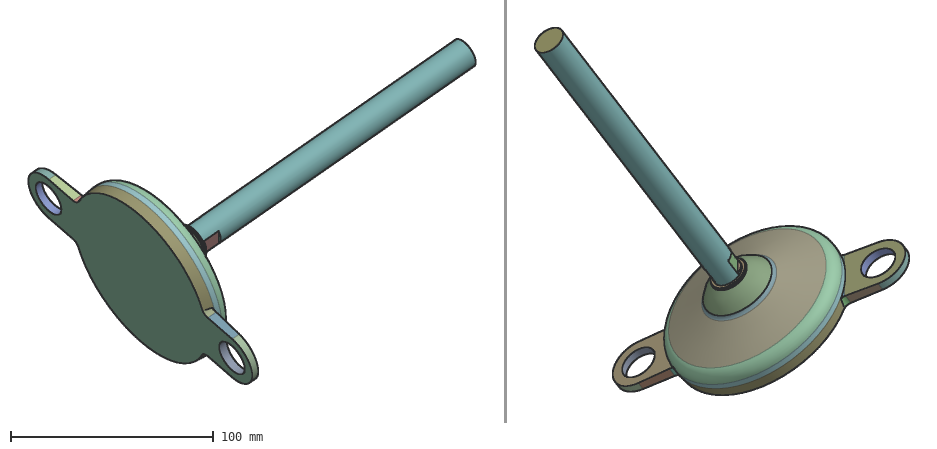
import cadquery as cq

total_length = 215.0
total_width = 166.0

foot_diameter = 100.0
rim_radius = foot_diameter / 2
sole_radius = 49.2
draft_top = 6.2
rim_top = 9.5
shoulder_radius = 44.7
shoulder_height = 16.0
cone_top_radius = 21.3
cone_top_height = 24.0
neck_mid_radius = 20.2
neck_mid_height = 24.7
dome_base_radius = 19.5
dome_base_height = 25.8
dome_mid_radius = 15.5
dome_mid_height = 30.3
dome_top_radius = 9.7
dome_top_height = 33.5
shoulder_mid_radius = 48.5
shoulder_mid_height = 13.3

lug_radius = 15.0
lug_hole_radius = 9.5
lug_center = total_width / 2 - lug_radius
lug_root_fillet = 4.3
lug_tip_thickness = 4.0
lug_root_thickness = 5.5

stem_radius = 8.06
collar_radius = 10.0
collar_chamfer = 0.5
collar_top = 35.3
flats_bottom = 36.5
flats_top = 46.2
flats_width = 12.7


def plate(sketch, thickness):
    """Extrude an XZ outline from the sole towards +Y."""
    return sketch.extrude(-thickness)


def make_lugs():
    """Disc with two lugs whose upper faces slope down to the tips."""
    disc = plate(cq.Workplane("XZ").circle(sole_radius), lug_root_thickness)
    bar = plate(
        cq.Workplane("XZ").slot2D(total_width, 2 * lug_radius), lug_root_thickness
    )
    blank = disc.union(bar)
    root_corners = cq.selectors.BoxSelector(
        (-sole_radius, -2.2, -lug_radius - 2.2),
        (sole_radius, lug_root_thickness + 2.2, lug_radius + 2.2),
    )
    blank = blank.edges("|Y").edges(root_corners).fillet(lug_root_fillet)
    tip = total_width / 2
    slope_outline = [
        (-tip, 0),
        (tip, 0),
        (tip, lug_tip_thickness),
        (sole_radius, lug_root_thickness),
        (-sole_radius, lug_root_thickness),
        (-tip, lug_tip_thickness),
    ]
    envelope = (
        cq.Workplane("XY").polyline(slope_outline).close()
        .extrude(rim_radius, both=True)
    )
    holes = plate(
        cq.Workplane("XZ")
        .pushPoints([(-lug_center, 0), (lug_center, 0)])
        .circle(lug_hole_radius),
        lug_root_thickness,
    )
    return blank.intersect(envelope).cut(holes)


def make_foot():
    """Bell-shaped foot with its lugs."""
    bell = (
        cq.Workplane("XY")
        .moveTo(0, 0)
        .lineTo(sole_radius, 0)
        .lineTo(rim_radius, draft_top)
        .lineTo(rim_radius, rim_top)
        .threePointArc(
            (shoulder_mid_radius, shoulder_mid_height), (shoulder_radius, shoulder_height)
        )
        .lineTo(cone_top_radius, cone_top_height)
        .threePointArc(
            (neck_mid_radius, neck_mid_height), (dome_base_radius, dome_base_height)
        )
        .threePointArc(
            (dome_mid_radius, dome_mid_height), (dome_top_radius, dome_top_height)
        )
        .lineTo(0, dome_top_height)
        .close()
        .revolve(360, (0, 0, 0), (0, 1, 0))
    )
    return bell.union(make_lugs())


def make_stem():
    """Round stem with a collar resting on the dome and two wrench flats."""
    collar = (
        cq.Workplane("XZ", origin=(0, dome_top_height, 0))
        .circle(collar_radius)
        .extrude(dome_top_height - collar_top)
        .faces("<Y or >Y")
        .chamfer(collar_chamfer)
    )
    rod = (
        cq.Workplane("XZ", origin=(0, dome_top_height, 0))
        .circle(stem_radius)
        .extrude(dome_top_height - total_length)
    )
    flats_height = flats_top - flats_bottom
    flats_middle = (flats_top + flats_bottom) / 2
    cut_depth = stem_radius - flats_width / 2
    for side in (-1, 1):
        cutter = cq.Workplane("XY").box(cut_depth, flats_height, 2 * stem_radius)
        cut_center = side * (flats_width + cut_depth) / 2
        rod = rod.cut(cutter.translate((cut_center, flats_middle, 0)))
    return collar.union(rod)


foot = make_foot()
stem = make_stem()
result = cq.Compound.makeCompound([foot.val(), stem.val()])